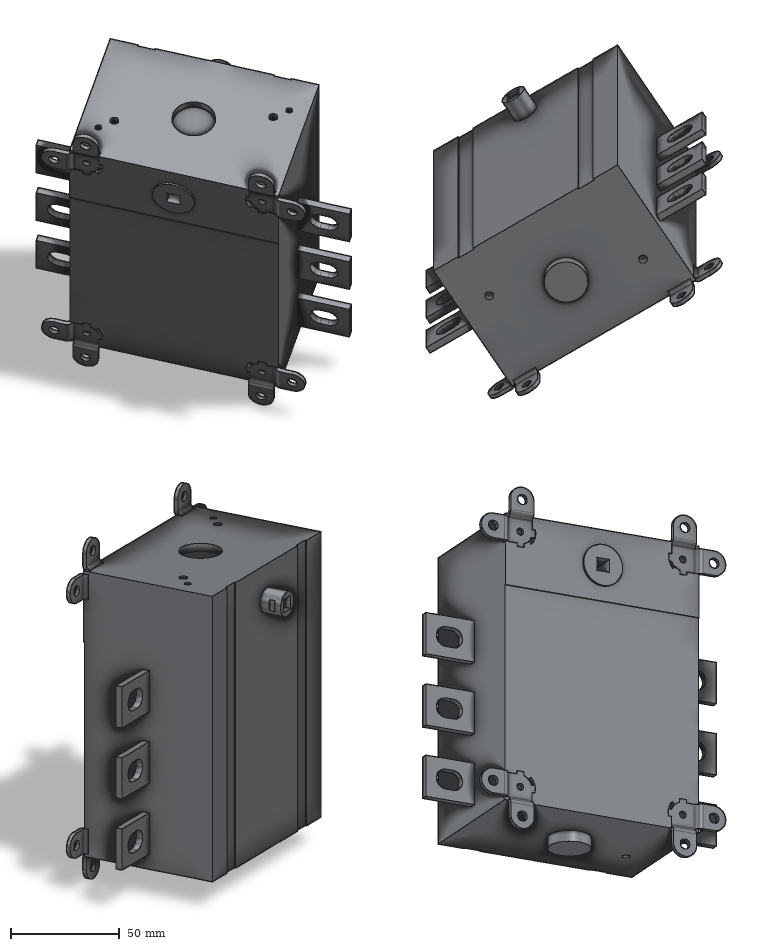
import cadquery as cq
import math


body_width = 100.0
body_height = 140.1
body_depth = 68.1
cover_step = 0.5
cover_bottom_z = 35.0
axis_y = 32.9

coupling_diameter = 20.0
coupling_socket_depth = 4.0
coupling_boss_height = 5.3

through_hole_diameter = 4.0
through_hole_x = 34.9
through_hole_offset = 11.0
blind_hole_diameter = 3.0
blind_hole_depth = 10.0
blind_hole_x = 40.9
blind_hole_offset = 16.9

groove_width = 8.2
groove_depth = 0.7
groove_x = 32.5

shaft_z = 52.5
shaft_diameter = 12.0
shaft_length = 10.9
shaft_square = 6.3
notch_width = 2.8
notch_depth = 0.7
notch_setback = 4.7
dial_diameter = 20.0
dial_height = 1.0

terminal_span = 150.0
terminal_height = 20.2
terminal_thickness = 3.3
terminal_pitch = 34.9
terminal_middle_z = -17.5
slot_length = 13.4
slot_height = 9.7
slot_x = 62.8

bracket_span_z = 167.0
bracket_pitch_x = 84.0
bracket_x = bracket_pitch_x / 2
lug_reach = 15.0
lug_radius = 6.0
bracket_z = bracket_span_z / 2 - lug_reach - lug_radius
sheet = 2.0
plate_setback = 0.2
lug_front_y = -2.0
lug_hole_diameter = 4.8
rivet_hole_diameter = 3.3
finger_width = 3.7
finger_reach = 7.7
bend_angle = 45.0
bend_inner_radius = 0.5
bend_reach = 8.2
arc_groove_angle = 45.0


def cylinder_y(diameter, x, z, y_start, y_end):
    """Cylinder along Y between two depths."""
    plane = cq.Workplane("XZ", origin=(x, y_start, z))
    return plane.circle(diameter / 2).extrude(y_start - y_end)


def cylinder_z(diameter, x, y, z_start, z_end):
    """Cylinder along Z between two heights."""
    plane = cq.Workplane("XY", origin=(x, y, z_start))
    return plane.circle(diameter / 2).extrude(z_end - z_start)


def box_between(x_range, y_range, z_range):
    """Box given by its limits along each axis."""
    sizes = [end - start for start, end in (x_range, y_range, z_range)]
    corner = (x_range[0], y_range[0], z_range[0])
    return cq.Workplane("XY").box(*sizes, centered=False).translate(corner)


def make_housing():
    half_width = body_width / 2
    top_z = body_height / 2
    sides = (-half_width, half_width)
    housing = box_between(sides, (0, body_depth), (-top_z, top_z))
    cover = box_between(sides, (-cover_step, body_depth), (cover_bottom_z, top_z))
    housing = housing.union(cover)

    for side in (-1, 1):
        groove = cq.Workplane("XY").box(groove_width, 2 * groove_depth, body_height)
        housing = housing.cut(groove.translate((side * groove_x, body_depth, 0)))

        through_y = axis_y + side * through_hole_offset
        blind_y = axis_y + side * blind_hole_offset
        through_hole = cylinder_z(through_hole_diameter, side * through_hole_x, through_y, -top_z, top_z)
        blind_bottom_z = top_z - blind_hole_depth
        blind_hole = cylinder_z(blind_hole_diameter, side * blind_hole_x, blind_y, blind_bottom_z, top_z)
        housing = housing.cut(through_hole).cut(blind_hole)

    socket = cylinder_z(coupling_diameter, 0, axis_y, top_z - coupling_socket_depth, top_z)
    boss = cylinder_z(coupling_diameter, 0, axis_y, -top_z - coupling_boss_height, -top_z)
    return housing.cut(socket).union(boss)


def add_shaft(part):
    """Rear shaft and front dial, with a square bore right through and a flat notch on +X."""
    shaft_end = body_depth + shaft_length
    dial_front = -cover_step - dial_height
    part = part.union(cylinder_y(shaft_diameter, 0, shaft_z, body_depth, shaft_end))
    part = part.union(cylinder_y(dial_diameter, 0, shaft_z, dial_front, 0))

    half_square = shaft_square / 2
    bore = box_between(
        (-half_square, half_square),
        (dial_front, shaft_end),
        (shaft_z - half_square, shaft_z + half_square),
    )
    notch = cq.Workplane("XY").box(2 * notch_depth, notch_width, shaft_diameter)
    notch = notch.translate((shaft_diameter / 2, shaft_end - notch_setback, shaft_z))
    return part.cut(bore).cut(notch)


def make_terminal(side, z):
    """Flat terminal blade with a slotted hole, standing out of one side of the housing."""
    length = (terminal_span - body_width) / 2
    blade = cq.Workplane("XY").box(length, terminal_thickness, terminal_height)
    blade = blade.translate((side * (terminal_span - length) / 2, axis_y, z))
    slot = (
        cq.Workplane("XZ", origin=(side * slot_x, axis_y, z))
        .slot2D(slot_length, slot_height)
        .extrude(terminal_thickness, both=True)
    )
    return blade.cut(slot)




def make_cranked_strip():
    """Flat strip from the plate towards -X, bent forward and then back level to form the lug."""
    angle = math.radians(bend_angle)
    plate_back = plate_setback + sheet
    lug_back = lug_front_y + sheet
    tip_x = -lug_reach - lug_radius
    crank_run = (plate_setback - lug_front_y) / math.tan(angle)
    back_shift = sheet * math.tan(angle / 2)

    lug_front_corner = (-bend_reach, lug_front_y)
    plate_front_corner = (-bend_reach + crank_run, plate_setback)
    lug_back_corner = (lug_front_corner[0] - back_shift, lug_back)
    plate_back_corner = (plate_front_corner[0] - back_shift, plate_back)

    outline = [
        (0, plate_setback),
        plate_front_corner,
        lug_front_corner,
        (tip_x, lug_front_y),
        (tip_x, lug_back),
        lug_back_corner,
        plate_back_corner,
        (0, plate_back),
    ]
    strip = cq.Workplane("XY").polyline(outline).close().extrude(lug_radius, both=True)

    bends = (
        (bend_inner_radius, (plate_front_corner, lug_back_corner)),
        (bend_inner_radius + sheet, (lug_front_corner, plate_back_corner)),
    )
    for radius, corners in bends:
        for x, y in corners:
            strip = strip.edges(cq.selectors.NearestToPointSelector((x, y, 0))).fillet(radius)
    return strip


def make_lug():
    """Cranked strip towards -X with a round end and a mounting hole."""
    back = plate_setback + sheet
    outline = (
        cq.Workplane("XZ", origin=(-lug_reach / 2, back, 0))
        .slot2D(lug_reach + 2 * lug_radius, 2 * lug_radius)
        .extrude(back - lug_front_y)
    )
    hole = cylinder_y(lug_hole_diameter, -lug_reach, 0, lug_front_y, back)
    return make_cranked_strip().intersect(outline).cut(hole)


def both_ways(shape):
    """A shape joined with its mirror image in the line Z = -X."""
    swapped = shape.mirror("YZ").rotate((0, 0, 0), (0, 1, 0), -90)
    return shape.union(swapped)


def make_plate(front_y):
    """Round plate with two locating fingers, from a front depth to the sheet's back."""
    back = plate_setback + sheet
    disc = cylinder_y(2 * lug_radius, 0, 0, front_y, back)
    half_finger = finger_width / 2
    finger = box_between((0, finger_reach), (front_y, back), (-half_finger, half_finger))
    finger_limit = cylinder_y(2 * finger_reach, 0, 0, front_y, back)
    return disc.union(both_ways(finger).intersect(finger_limit))


def make_bracket():
    plate = make_plate(plate_setback).union(both_ways(make_lug()))
    back = plate_setback + sheet
    return plate.cut(cylinder_y(rivet_hole_diameter, 0, 0, plate_setback, back))


def make_bracket_pocket():
    """Room for a bracket in the housing: plate seat, two lug channels and an arc groove."""
    back = plate_setback + sheet
    channel = box_between((-lug_reach, 0), (lug_front_y, back), (-lug_radius, lug_radius))
    ring = cylinder_y(2 * finger_reach, 0, 0, lug_front_y, back)
    ring = ring.cut(cylinder_y(2 * lug_radius, 0, 0, lug_front_y, back))
    wedge_depth = finger_reach * math.tan(math.radians(arc_groove_angle))
    wedge = (
        cq.Workplane("XZ", origin=(0, back, 0))
        .polyline([(0, 0), (finger_reach, 0), (finger_reach, -wedge_depth)])
        .close()
        .extrude(back - lug_front_y)
    )
    return make_plate(lug_front_y).union(both_ways(channel)).union(ring.intersect(wedge))


def at_corner(shape, side_x, side_z):
    """Moves an upper left bracket shape to one corner of the housing."""
    if side_x > 0:
        shape = shape.mirror("YZ")
    if side_z < 0:
        shape = shape.mirror("XY")
    return shape.translate((side_x * bracket_x, 0, side_z * bracket_z))


result = add_shaft(make_housing())

for side in (-1, 1):
    for row in (-1, 0, 1):
        result = result.union(make_terminal(side, terminal_middle_z + row * terminal_pitch))

bracket = make_bracket()
pocket = make_bracket_pocket()
for side_x in (-1, 1):
    for side_z in (-1, 1):
        result = result.cut(at_corner(pocket, side_x, side_z))
        result = result.union(at_corner(bracket, side_x, side_z))